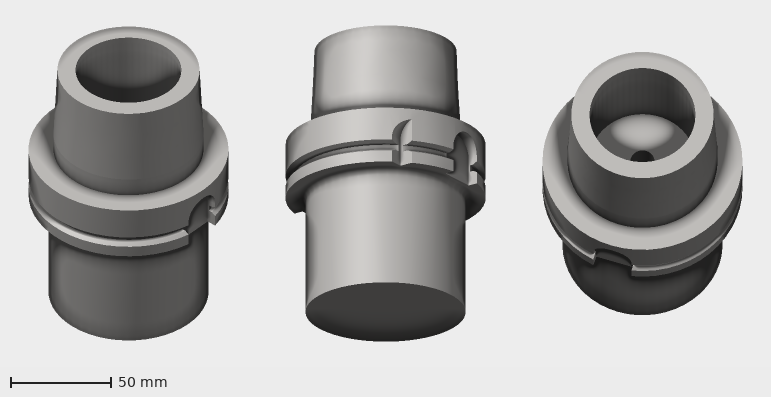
import cadquery as cq

total_height = 140.0
flange_bottom = 61.0
flange_top = 90.0
taper_start = 100.0

shank_radius = 40.0
flange_radius = 50.0
taper_base_radius = 37.5
taper_top_radius = 35.5
shank_fillet = 3.0

groove_center = 70.0
groove_floor_width = 3.4
groove_mouth_width = 5.9
groove_radius = 45.9
groove_flank_radius = 47.9

bore_radius = 26.5
bore_depth = total_height - flange_top
hole_radius = 6.0
hole_depth = 29.0
hole_floor_height = flange_top - hole_depth

slot_width = 20.0
slot_radius = slot_width / 2
slot_arc_height = 74.9
drive_floor_distance = 44.0
corner_wall_distance = 31.8
corner_floor_distance = 31.5


def turned_body():
    """Shank, flange and taper as one revolved profile."""
    fillet_outer = shank_radius + shank_fillet
    fillet_bottom = flange_bottom - shank_fillet
    arc_offset = shank_fillet * (1 - 0.5 ** 0.5)
    return (
        cq.Workplane("XZ")
        .lineTo(shank_radius, 0)
        .lineTo(shank_radius, fillet_bottom)
        .threePointArc(
            (shank_radius + arc_offset, flange_bottom - arc_offset),
            (fillet_outer, flange_bottom),
        )
        .lineTo(flange_radius, flange_bottom)
        .lineTo(flange_radius, flange_top)
        .lineTo(taper_base_radius, flange_top)
        .lineTo(taper_base_radius, taper_start)
        .lineTo(taper_top_radius, total_height)
        .lineTo(0, total_height)
        .close()
        .revolve(360, (0, 0, 0), (0, 1, 0))
    )


def gripper_groove():
    """Square groove with flared outer edges."""
    floor_half = groove_floor_width / 2
    mouth_half = groove_mouth_width / 2
    return (
        cq.Workplane("XZ")
        .moveTo(groove_radius, groove_center - floor_half)
        .lineTo(groove_flank_radius, groove_center - floor_half)
        .lineTo(flange_radius, groove_center - mouth_half)
        .lineTo(flange_radius, groove_center + mouth_half)
        .lineTo(groove_flank_radius, groove_center + floor_half)
        .lineTo(groove_radius, groove_center + floor_half)
        .close()
        .revolve(360, (0, 0, 0), (0, 1, 0))
    )


def flange_slot(floor_distance, side_offset=0):
    """Slot running outwards along +Y from its floor, with a round upper end."""
    straight_height = slot_arc_height - flange_bottom
    depth = flange_radius - floor_distance
    return (
        cq.Workplane("XZ", origin=(side_offset, floor_distance, flange_bottom))
        .moveTo(-slot_radius, 0)
        .lineTo(slot_radius, 0)
        .lineTo(slot_radius, straight_height)
        .threePointArc((0, straight_height + slot_radius), (-slot_radius, straight_height))
        .close()
        .extrude(-depth)
    )


body = turned_body().cut(gripper_groove())

for angle in (90, -90):
    drive_slot = flange_slot(drive_floor_distance).rotate((0, 0, 0), (0, 0, 1), angle)
    body = body.cut(drive_slot)

body = body.cut(flange_slot(corner_floor_distance, -corner_wall_distance - slot_radius))

bore = (
    cq.Workplane("XY", origin=(0, 0, total_height - bore_depth))
    .circle(bore_radius)
    .extrude(bore_depth)
)
hole = (
    cq.Workplane("XY", origin=(0, 0, hole_floor_height))
    .circle(hole_radius)
    .extrude(hole_depth)
)

result = body.cut(bore).cut(hole)